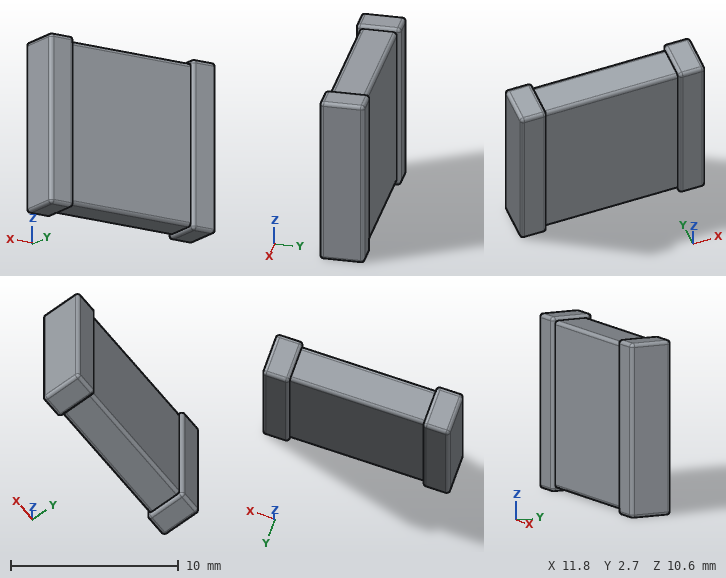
import cadquery as cq

length = 11.8
depth = 2.7
height = 10.6

terminal_width = 1.68
edge_radius = 0.22

setback = edge_radius
body_length = length - 2 * terminal_width
body_depth = depth - 2 * setback
body_height = height - 2 * setback


def make_terminal(side):
    """Rounded terminal block at the -X end (side = -1) or the +X end (side = +1)."""
    center_x = side * (length - terminal_width) / 2
    block = cq.Workplane("XY").box(terminal_width, depth, height)
    return block.edges().fillet(edge_radius).translate((center_x, 0, 0))


def make_body():
    """Bar between the terminals, its four long edges rounded."""
    bar = cq.Workplane("XY").box(body_length, body_depth, body_height)
    return bar.edges("|X").fillet(edge_radius)


body = make_body()
terminals = [make_terminal(side) for side in (-1, 1)]

result = cq.Compound.makeCompound([body.val(), *[terminal.val() for terminal in terminals]])